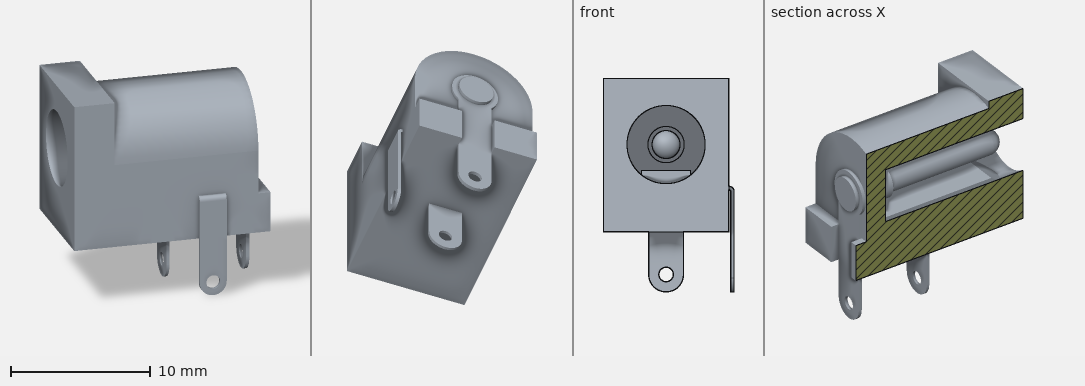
import cadquery as cq

width = 9.0
height = 11.0
length = 14.63
plate_depth = 3.01
body_rear = 13.72
base_height = 2.98
axis_z = 6.26

bore_diameter = 5.6
bore_depth = 12.0
pin_diameter = 2.0
pin_tip_y = 1.0
rivet_diameter = 2.6
rivet_rear = 14.27
collar_length = 1.0

lead_drop = 4.3
lead_hole_diameter = 1.03
lead_width = 2.51
embed = 0.46

rear_lead_thickness = 0.26
rear_head_diameter = 3.52

spring_lead_front = 7.82
spring_lead_thickness = 0.21
spring_width = 3.52
spring_start_y = 1.15
spring_start_z = 3.43
spring_crest_y = 2.75
spring_crest_z = 4.39

side_lead_width = 2.0
side_lead_thickness = 0.26
side_lead_outer = 4.88
side_lead_top = 3.27
side_lead_y = 10.25
side_lead_inner_bend = 0.1


def box(x_start, x_end, y_start, y_end, z_start, z_end):
    size = (x_end - x_start, y_end - y_start, z_end - z_start)
    return cq.Workplane("XY").box(*size, centered=False).translate((x_start, y_start, z_start))


def axial_cylinder(diameter, y_start, y_end):
    """Cylinder along Y on the socket axis."""
    plane = cq.Workplane("XZ", origin=(0, y_start, axis_z))
    return plane.circle(diameter / 2).extrude(y_start - y_end)


def flat_lead(lead_w, thickness, top_z):
    """Lead facing -Y with a round, pierced lower end; its front face is at Y = 0."""
    radius = lead_w / 2
    eye_z = radius - lead_drop
    profile = (
        cq.Workplane("XZ")
        .moveTo(-radius, top_z)
        .lineTo(-radius, eye_z)
        .threePointArc((0, -lead_drop), (radius, eye_z))
        .lineTo(radius, top_z)
        .close()
    )
    eye = cq.Workplane("XZ").center(0, eye_z).circle(lead_hole_diameter / 2)
    return profile.extrude(-thickness).cut(eye.extrude(-thickness))


def make_housing():
    half = width / 2
    plate = box(-half, half, 0, plate_depth, 0, height)
    lower_body = box(-half, half, 0, body_rear, 0, axis_z)
    base = box(-half, half, 0, length, 0, base_height)
    barrel = axial_cylinder(width, 0, body_rear)
    lead_slot = box(-lead_width / 2, lead_width / 2, body_rear, length, 0, base_height)
    bore = axial_cylinder(bore_diameter, 0, bore_depth)
    return plate.union(lower_body).union(base).union(barrel).cut(lead_slot).cut(bore)


def make_pin():
    radius = pin_diameter / 2
    tip_centre_y = pin_tip_y + radius
    tip = cq.Workplane("XY").sphere(radius).translate((0, tip_centre_y, axis_z))
    shaft = axial_cylinder(pin_diameter, tip_centre_y, body_rear)
    rivet = axial_cylinder(rivet_diameter, bore_depth - collar_length, rivet_rear)
    return tip.union(shaft).union(rivet)


def make_rear_lead():
    stem = flat_lead(lead_width, rear_lead_thickness, axis_z).translate((0, body_rear, 0))
    head = axial_cylinder(rear_head_diameter, body_rear, body_rear + rear_lead_thickness)
    return stem.union(head)


def make_contact_spring():
    """Ramp rising from the bottom of the bore to a level crest."""
    ramp = (
        cq.Workplane("YZ", origin=(-spring_width / 2, 0, 0))
        .moveTo(spring_start_y, spring_start_z)
        .lineTo(spring_crest_y, spring_crest_z)
        .lineTo(bore_depth, spring_crest_z)
        .lineTo(bore_depth, base_height)
        .lineTo(spring_start_y, base_height)
        .close()
        .extrude(spring_width)
    )
    lead = flat_lead(lead_width, spring_lead_thickness, embed).translate((0, spring_lead_front, 0))
    return ramp.union(lead)


def make_side_lead():
    inner = side_lead_outer - side_lead_thickness
    foot_bottom = side_lead_top - side_lead_thickness
    blade = (
        flat_lead(side_lead_width, side_lead_thickness, side_lead_top)
        .rotate((0, 0, 0), (0, 0, 1), 90)
        .translate((side_lead_outer, side_lead_y, 0))
    )
    foot = box(
        width / 2 - embed,
        inner,
        side_lead_y - side_lead_width / 2,
        side_lead_y + side_lead_width / 2,
        foot_bottom,
        side_lead_top,
    )
    lead = blade.union(foot)
    inner_corner = cq.selectors.NearestToPointSelector((inner, side_lead_y, foot_bottom))
    lead = lead.edges("|Y").edges(inner_corner).fillet(side_lead_inner_bend)
    return lead.edges("|Y and >X and >Z").fillet(side_lead_inner_bend + side_lead_thickness)


result = make_housing()
for metal_part in (make_pin(), make_rear_lead(), make_contact_spring(), make_side_lead()):
    result = result.union(metal_part)